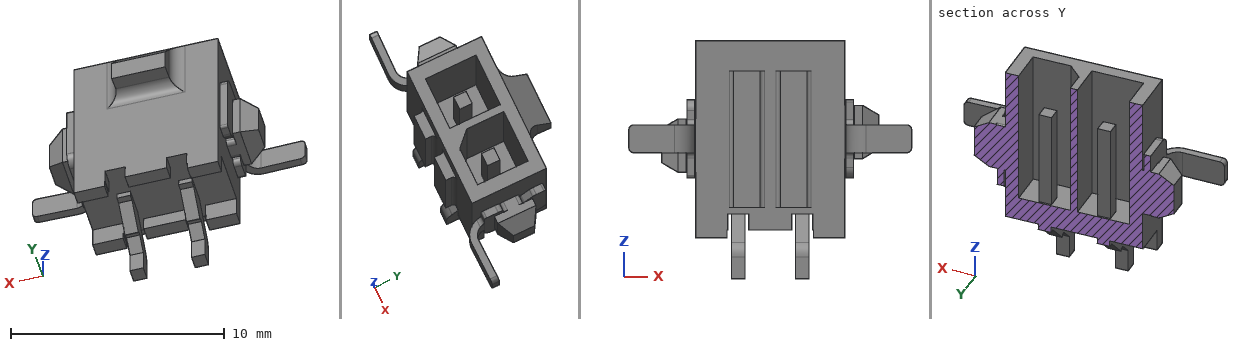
import cadquery as cq
import math


BODY_WIDTH = 7.0
BODY_DEPTH = 3.87
BODY_HEIGHT = 9.24
MID_Y = BODY_DEPTH / 2

FOOT_THICKNESS = 0.64
UNDERSIDE_Z = 1.11
FOOT_GAP_WIDTH = 4.03
FOOT_GAP_HEIGHT = 0.36
PIN_NOTCH_WIDTH = 0.97

PITCH = 3.0
PIN_SIZE = 0.65
PIN_TIP_DEPTH = 1.99
PIN_DROP = 1.92
PIN_BEND_RADIUS = 0.95
PIN_FRONT_Y = -0.5
PIN_START_Y = 2.4
PIN_STEP_HEIGHT = 0.3
PIN_STEP_LENGTH = 0.3
PIN_SLOPE_TOP_Y = 1.1
PIN_INNER_CORNER_Z = -0.77
PIN_SHELF_Y = 0.74
PIN_BARB = 0.1
SIDES = (-1, 1)

POCKET_SIZE = 2.62
POCKET_DEPTH = 6.89
POCKET_CHAMFER = 0.7

RIB_SPACING = 2.19
RIB_WIDTH = 1.23
RIB_PROJECTION = 0.5
RIB_BOTTOM_Z = 1.43
RIB_TOP_Z = 7.82
RIB_FILLET = 0.2

LATCH_WIDTH = 2.6
LATCH_PROJECTION = 1.3
LATCH_SLOPE_DROP = 1.84
LATCH_TIP_DROP = 2.97
LATCH_ROOT_DROP = 2.89
LATCH_FILLET = 0.6

OVERALL_WIDTH = 13.25
CLEARANCE = 0.04
SHEET = 0.37
CLIP_MID_Z = 4.64
CLIP_HEIGHT = 3.67
CLIP_FRONT_Y = 0.45
CLIP_BACK_Y = 3.66
CLIP_TOP_RADIUS = 0.5
CLIP_FOOT_RADIUS = 0.12
SLOT_CHAMFER = 0.6
SLOT_FILLET = 0.26
TAB_WIDTH = 1.31
TAB_FRONT_Y = -0.49
TAB_BEND_RADIUS = 0.94
TAB_ROOT_FILLET = 0.24
TAB_TIP_RADIUS = 0.24
TAB_TIP_OFFSET = 0.04

PEG_DEPTH = 1.99
PEG_HEIGHT = 2.5
PEG_STRAIGHT = 0.37
PEG_TAPER_LENGTH = 0.77
PEG_TAPER_INSET = 0.45
PEG_OFFSET_Z = -0.32
NECK_WIDTH = 1.01
NECK_RADIUS = 0.2


def box(x_min, x_max, y_min, y_max, z_min, z_max):
    """Block between the given limits."""
    size = (x_max - x_min, y_max - y_min, z_max - z_min)
    return cq.Workplane("XY").box(*size, centered=False).translate((x_min, y_min, z_min))


def make_housing():
    half = BODY_WIDTH / 2
    body = box(-half, half, 0, BODY_DEPTH, 0, BODY_HEIGHT)
    body = body.cut(box(-half, half, FOOT_THICKNESS, BODY_DEPTH - FOOT_THICKNESS, 0, UNDERSIDE_Z))
    gap = FOOT_GAP_WIDTH / 2
    body = body.cut(box(-gap, gap, 0, BODY_DEPTH, 0, FOOT_GAP_HEIGHT))
    for side in SIDES:
        pin_x = side * PITCH / 2
        notch = PIN_NOTCH_WIDTH / 2
        body = body.cut(box(pin_x - notch, pin_x + notch, 0, BODY_DEPTH, 0, UNDERSIDE_Z))
        body = body.cut(make_pocket(pin_x, keyed=side > 0))
    return body


def make_pocket(pin_x, keyed):
    """Square pocket; the keyed one has its inner front corner cut off."""
    half = POCKET_SIZE / 2
    pocket = box(pin_x - half, pin_x + half, MID_Y - half, MID_Y + half,
                 BODY_HEIGHT - POCKET_DEPTH, BODY_HEIGHT)
    if keyed:
        pocket = pocket.edges("|Z and <X and <Y").chamfer(POCKET_CHAMFER)
    return pocket


def make_rib(rib_x):
    """Upright front rib with concave fillets along both sides."""
    half = RIB_WIDTH / 2
    foot = half + RIB_FILLET
    outline = (
        cq.Workplane("XY", origin=(rib_x, 0, RIB_BOTTOM_Z))
        .moveTo(-foot, 0)
        .radiusArc((-half, -RIB_FILLET), RIB_FILLET)
        .lineTo(-half, -RIB_PROJECTION)
        .lineTo(half, -RIB_PROJECTION)
        .lineTo(half, -RIB_FILLET)
        .radiusArc((foot, 0), RIB_FILLET)
        .close()
    )
    return outline.extrude(RIB_TOP_Z - RIB_BOTTOM_Z)


def make_latch():
    """Rear hook: its side profile trimmed by a plan with flared sides."""
    half = LATCH_WIDTH / 2
    foot = half + LATCH_FILLET
    tip_y = BODY_DEPTH + LATCH_PROJECTION
    flare_y = BODY_DEPTH + LATCH_FILLET
    root_z = BODY_HEIGHT - LATCH_ROOT_DROP
    profile = (
        cq.Workplane("YZ", origin=(-foot, 0, 0))
        .moveTo(BODY_DEPTH, BODY_HEIGHT)
        .lineTo(tip_y, BODY_HEIGHT - LATCH_SLOPE_DROP)
        .lineTo(tip_y, BODY_HEIGHT - LATCH_TIP_DROP)
        .lineTo(flare_y, root_z)
        .radiusArc((BODY_DEPTH, root_z - LATCH_FILLET), -LATCH_FILLET)
        .close()
        .extrude(2 * foot)
    )
    plan = (
        cq.Workplane("XY")
        .moveTo(-foot, BODY_DEPTH)
        .radiusArc((-half, flare_y), -LATCH_FILLET)
        .lineTo(-half, tip_y)
        .lineTo(half, tip_y)
        .lineTo(half, flare_y)
        .radiusArc((foot, BODY_DEPTH), -LATCH_FILLET)
        .close()
        .extrude(BODY_HEIGHT)
    )
    return profile.intersect(plan)


def make_pin(pin_x):
    """Square contact in the pocket and a tail that slopes 45 degrees to the front."""
    half = PIN_SIZE / 2
    contact = box(pin_x - half, pin_x + half, MID_Y - half, MID_Y + half,
                  UNDERSIDE_Z, BODY_HEIGHT - PIN_TIP_DEPTH)

    bend_top_y = PIN_FRONT_Y + PIN_BEND_RADIUS * (1 - math.cos(math.pi / 4))
    bend_top_z = UNDERSIDE_Z - (PIN_SLOPE_TOP_Y - bend_top_y)
    bend_bottom_z = bend_top_z - PIN_BEND_RADIUS * math.sin(math.pi / 4)
    inner_y = PIN_FRONT_Y + PIN_SIZE
    shelf_z = PIN_INNER_CORNER_Z + PIN_SHELF_Y - inner_y
    step_z = UNDERSIDE_Z - PIN_STEP_HEIGHT
    step_y = PIN_START_Y - PIN_STEP_LENGTH
    barb_z = shelf_z - PIN_BARB
    barb_y = step_y - (step_z - barb_z)
    tail = (
        cq.Workplane("YZ", origin=(pin_x - half, 0, 0))
        .moveTo(PIN_START_Y, UNDERSIDE_Z)
        .lineTo(PIN_START_Y, step_z)
        .lineTo(step_y, step_z)
        .lineTo(barb_y, barb_z)
        .lineTo(barb_y - PIN_BARB, shelf_z)
        .lineTo(PIN_SHELF_Y, shelf_z)
        .lineTo(inner_y, PIN_INNER_CORNER_Z)
        .lineTo(inner_y, -PIN_DROP)
        .lineTo(PIN_FRONT_Y, -PIN_DROP)
        .lineTo(PIN_FRONT_Y, bend_bottom_z)
        .radiusArc((bend_top_y, bend_top_z), PIN_BEND_RADIUS)
        .lineTo(PIN_SLOPE_TOP_Y, UNDERSIDE_Z)
        .close()
        .extrude(PIN_SIZE)
    )
    return contact.union(tail)


def make_peg():
    """Neck through the clip and a tapered head of equal height, on the -X side."""
    peg_z = CLIP_MID_Z + PEG_OFFSET_Z
    wall_x = BODY_WIDTH / 2
    neck_length = SHEET + 2 * CLEARANCE
    base = cq.Workplane("YZ", origin=(-wall_x, MID_Y, peg_z))
    neck = base.rect(NECK_WIDTH, PEG_HEIGHT).extrude(-neck_length)
    neck = neck.edges("|X and <Z").fillet(NECK_RADIUS)
    head = base.workplane(offset=-neck_length).rect(PEG_DEPTH, PEG_HEIGHT).extrude(-PEG_STRAIGHT)
    taper = (
        base.workplane(offset=-neck_length - PEG_STRAIGHT)
        .rect(PEG_DEPTH, PEG_HEIGHT)
        .workplane(offset=-PEG_TAPER_LENGTH)
        .rect(PEG_DEPTH - 2 * PEG_TAPER_INSET, PEG_HEIGHT - 2 * PEG_TAPER_INSET)
        .loft(ruled=True)
    )
    return neck.union(head).union(taper)


def make_bent_sheet():
    """Strip of clip height that runs along the -X wall and bends outward in front."""
    inner_x = -BODY_WIDTH / 2 - CLEARANCE
    outer_x = inner_x - SHEET
    bend_x = inner_x - TAB_BEND_RADIUS
    bend_y = TAB_FRONT_Y + TAB_BEND_RADIUS
    tip_x = -OVERALL_WIDTH / 2
    tip_y = TAB_FRONT_Y + TAB_TIP_OFFSET
    return (
        cq.Workplane("XY", origin=(0, 0, CLIP_MID_Z - CLIP_HEIGHT / 2))
        .moveTo(inner_x, CLIP_BACK_Y)
        .lineTo(inner_x, bend_y)
        .radiusArc((bend_x, TAB_FRONT_Y), TAB_BEND_RADIUS)
        .lineTo(tip_x, tip_y)
        .lineTo(tip_x, tip_y + SHEET)
        .lineTo(bend_x, TAB_FRONT_Y + SHEET)
        .radiusArc((outer_x, bend_y), SHEET - TAB_BEND_RADIUS)
        .lineTo(outer_x, CLIP_BACK_Y)
        .close()
        .extrude(CLIP_HEIGHT)
    )


def make_clip_blank():
    """Side outline of the clip, as a block that trims the bent sheet."""
    bottom_z = CLIP_MID_Z - CLIP_HEIGHT / 2
    top_z = CLIP_MID_Z + CLIP_HEIGHT / 2
    left_x = -OVERALL_WIDTH / 2
    right_x = -BODY_WIDTH / 2
    plate = box(left_x, right_x, CLIP_FRONT_Y, CLIP_BACK_Y, bottom_z, top_z)
    plate = plate.edges("|X and >Z").fillet(CLIP_TOP_RADIUS)
    plate = plate.edges("|X and <Z").fillet(CLIP_FOOT_RADIUS)

    slot_front_y = MID_Y - NECK_WIDTH / 2
    slot_back_y = MID_Y + NECK_WIDTH / 2
    slot_top_z = CLIP_MID_Z + PEG_OFFSET_Z + PEG_HEIGHT / 2
    slope_top_z = bottom_z + SLOT_CHAMFER
    slope_end_y = slot_back_y + SLOT_CHAMFER
    tangent = SLOT_FILLET * math.tan(math.pi / 8)
    run = tangent * math.cos(math.pi / 4)
    slot = (
        cq.Workplane("YZ", origin=(left_x, 0, 0))
        .moveTo(slot_front_y - SLOT_FILLET, bottom_z)
        .radiusArc((slot_front_y, bottom_z + SLOT_FILLET), -SLOT_FILLET)
        .lineTo(slot_front_y, slot_top_z)
        .lineTo(slot_back_y, slot_top_z)
        .lineTo(slot_back_y, slope_top_z + tangent)
        .radiusArc((slot_back_y + run, slope_top_z - run), -SLOT_FILLET)
        .lineTo(slope_end_y - run, bottom_z + run)
        .radiusArc((slope_end_y + tangent, bottom_z), -SLOT_FILLET)
        .close()
        .extrude(right_x - left_x)
    )

    tab_low_z = CLIP_MID_Z - TAB_WIDTH / 2
    tab_high_z = CLIP_MID_Z + TAB_WIDTH / 2
    root_y = CLIP_FRONT_Y - TAB_ROOT_FILLET
    tab = (
        cq.Workplane("YZ", origin=(left_x, 0, 0))
        .moveTo(CLIP_FRONT_Y, tab_low_z - TAB_ROOT_FILLET)
        .radiusArc((root_y, tab_low_z), -TAB_ROOT_FILLET)
        .lineTo(TAB_FRONT_Y, tab_low_z)
        .lineTo(TAB_FRONT_Y, tab_high_z)
        .lineTo(root_y, tab_high_z)
        .radiusArc((CLIP_FRONT_Y, tab_high_z + TAB_ROOT_FILLET), -TAB_ROOT_FILLET)
        .close()
        .extrude(right_x - left_x)
    )
    return plate.cut(slot).union(tab)


def make_clip_and_peg():
    clip = make_bent_sheet().intersect(make_clip_blank())
    clip = clip.edges("|Y and <X").fillet(TAB_TIP_RADIUS)
    return clip.union(make_peg())


part = make_housing().union(make_latch())
for side in SIDES:
    part = part.union(make_rib(side * RIB_SPACING / 2))
    part = part.union(make_pin(side * PITCH / 2))

clip_and_peg = make_clip_and_peg()
part = part.union(clip_and_peg)
part = part.union(clip_and_peg.rotate((0, 0, CLIP_MID_Z), (0, 1, CLIP_MID_Z), 180))

result = part